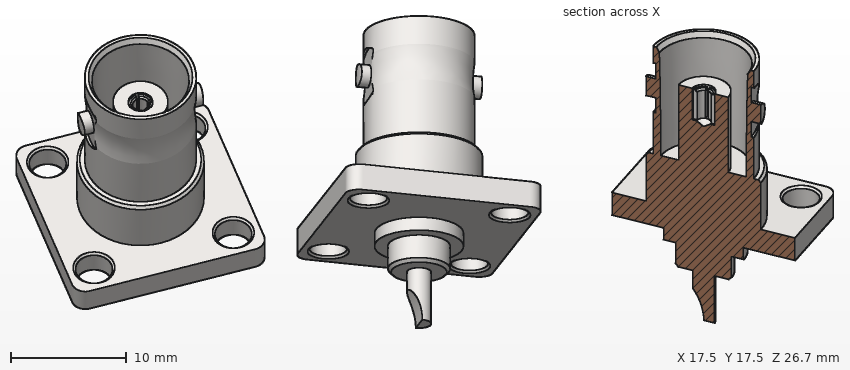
import cadquery as cq
import math

FLANGE_SIDE = 17.5
FLANGE_THICKNESS = 2.35
FLANGE_CORNER_RADIUS = 1.2
MOUNT_HOLE_PITCH = 12.7
MOUNT_HOLE_DIAMETER = 3.2
MOUNT_HOLE_CHAMFER = 0.2

BASE_RADIUS = 5.5
BASE_HEIGHT = 5.0
BASE_CHAMFER = 0.25
BARREL_RADIUS = 4.825
BARREL_HEIGHT = 10.95
BASE_TOP = FLANGE_THICKNESS + BASE_HEIGHT
BARREL_TOP = BASE_TOP + BARREL_HEIGHT

LUG_RADIUS = 1.0
LUG_DEPTH = 4.25
LUG_CENTER_Z = BARREL_TOP - LUG_DEPTH
LUG_TIP_RADIUS = BASE_RADIUS
GROOVE_WIDTH = 3.3
GROOVE_DEPTH = 0.15
FLAT_RADIUS = 2.5
FLAT_DISTANCE = 4.57

MOUTH_RADIUS = 4.5
TAPER_TOP_RADIUS = 4.2
SOCKET_FLOOR_RADIUS = 4.05
MOUTH_DEPTH = 0.5
SOCKET_FLOOR = BASE_TOP

INSULATOR_RADIUS = 2.375
INSULATOR_DEPTH = 3.3
INSULATOR_TOP = BARREL_TOP - INSULATOR_DEPTH
CONTACT_RADIUS = 1.05
CONTACT_RECESS = 0.2
CONTACT_TOP = INSULATOR_TOP - CONTACT_RECESS
CONTACT_BORE_RADIUS = 0.67
CONTACT_CHAMFER = 0.16
CONTACT_BORE_DEPTH = 3.0
DRILL_POINT_ANGLE = 118.0
SLOT_WIDTH = 0.25

TAIL_STEP_RADIUS = 3.85
TAIL_STEP_HEIGHT = 1.2
TAIL_RADIUS = 2.7
TAIL_HEIGHT = 2.4
TAIL_CHAMFER = 0.3
PIN_LENGTH = 4.8
TAIL_BOTTOM = -(TAIL_STEP_HEIGHT + TAIL_HEIGHT)
PIN_BOTTOM = TAIL_BOTTOM - PIN_LENGTH
SCOOP_RADIUS = PIN_LENGTH


def cylinder(radius, bottom, top):
    return cq.Workplane("XY").workplane(offset=bottom).circle(radius).extrude(top - bottom)


def cylinder_along_y(radius, center_z, length):
    """Cylinder parallel to Y, centred on the Z axis."""
    return cq.Workplane("XZ").center(0, center_z).circle(radius).extrude(length / 2, both=True)


def make_mount_drill():
    """Through drill that widens at both faces of the flange."""
    radius = MOUNT_HOLE_DIAMETER / 2
    flared_radius = radius + MOUNT_HOLE_CHAMFER
    return (
        cq.Workplane("XZ")
        .lineTo(flared_radius, 0)
        .lineTo(radius, MOUNT_HOLE_CHAMFER)
        .lineTo(radius, FLANGE_THICKNESS - MOUNT_HOLE_CHAMFER)
        .lineTo(flared_radius, FLANGE_THICKNESS)
        .lineTo(0, FLANGE_THICKNESS)
        .close()
        .revolve(360, (0, 0, 0), (0, 1, 0))
    )


def make_flange():
    plate = cq.Workplane("XY").rect(FLANGE_SIDE, FLANGE_SIDE).extrude(FLANGE_THICKNESS)
    plate = plate.edges("|Z").fillet(FLANGE_CORNER_RADIUS)
    hole_centers = cq.Workplane("XY").rect(MOUNT_HOLE_PITCH, MOUNT_HOLE_PITCH, forConstruction=True)
    return plate.cut(hole_centers.vertices().eachpoint(make_mount_drill().val(), True))


def make_barrel():
    """Revolved barrel with a shallow arc groove at lug height."""
    half_groove = GROOVE_WIDTH / 2
    return (
        cq.Workplane("XZ")
        .moveTo(0, BASE_TOP)
        .lineTo(BARREL_RADIUS, BASE_TOP)
        .lineTo(BARREL_RADIUS, LUG_CENTER_Z - half_groove)
        .threePointArc(
            (BARREL_RADIUS - GROOVE_DEPTH, LUG_CENTER_Z),
            (BARREL_RADIUS, LUG_CENTER_Z + half_groove),
        )
        .lineTo(BARREL_RADIUS, BARREL_TOP)
        .lineTo(0, BARREL_TOP)
        .close()
        .revolve(360, (0, 0, 0), (0, 1, 0))
    )


def cut_lug_flats(barrel):
    """Flatten a round spot behind each lug."""
    spots = cylinder_along_y(FLAT_RADIUS, LUG_CENTER_Z, 2 * BASE_RADIUS)
    spots = spots.cut(cylinder_along_y(FLAT_RADIUS, LUG_CENTER_Z, 2 * FLAT_DISTANCE))
    return barrel.cut(spots)


def make_lugs():
    """One bar along Y, rounded at both ends to the lug tip radius; the socket cuts its middle away."""
    bar = cylinder_along_y(LUG_RADIUS, LUG_CENTER_Z, 2 * BASE_RADIUS)
    envelope = cylinder(LUG_TIP_RADIUS, BASE_TOP, BARREL_TOP)
    return bar.intersect(envelope)


def make_socket():
    return (
        cq.Workplane("XZ")
        .moveTo(0, SOCKET_FLOOR)
        .lineTo(SOCKET_FLOOR_RADIUS, SOCKET_FLOOR)
        .lineTo(TAPER_TOP_RADIUS, BARREL_TOP - MOUTH_DEPTH)
        .lineTo(MOUTH_RADIUS, BARREL_TOP)
        .lineTo(0, BARREL_TOP)
        .close()
        .revolve(360, (0, 0, 0), (0, 1, 0))
    )


def make_contact_bore():
    """Chamfered bore with a conical drill point."""
    bore_bottom = CONTACT_TOP - CONTACT_BORE_DEPTH
    point_depth = CONTACT_BORE_RADIUS / math.tan(math.radians(DRILL_POINT_ANGLE / 2))
    return (
        cq.Workplane("XZ")
        .moveTo(0, bore_bottom - point_depth)
        .lineTo(CONTACT_BORE_RADIUS, bore_bottom)
        .lineTo(CONTACT_BORE_RADIUS, CONTACT_TOP - CONTACT_CHAMFER)
        .lineTo(CONTACT_BORE_RADIUS + CONTACT_CHAMFER, CONTACT_TOP)
        .lineTo(0, CONTACT_TOP)
        .close()
        .revolve(360, (0, 0, 0), (0, 1, 0))
    )


def make_contact_slots():
    """Crossed slots that split the contact into four fingers down to the bottom of its bore."""
    bars = cq.Workplane("XY").workplane(offset=CONTACT_TOP - CONTACT_BORE_DEPTH)
    along_x = bars.rect(2 * CONTACT_RADIUS, SLOT_WIDTH).extrude(CONTACT_BORE_DEPTH)
    along_y = bars.rect(SLOT_WIDTH, 2 * CONTACT_RADIUS).extrude(CONTACT_BORE_DEPTH)
    envelope = cylinder(CONTACT_RADIUS, CONTACT_TOP - CONTACT_BORE_DEPTH, CONTACT_TOP)
    return along_x.union(along_y).intersect(envelope)


def make_insulator():
    recess = cylinder(CONTACT_RADIUS, CONTACT_TOP, INSULATOR_TOP)
    post = cylinder(INSULATOR_RADIUS, SOCKET_FLOOR, INSULATOR_TOP)
    return post.cut(recess).cut(make_contact_bore()).cut(make_contact_slots())


def make_tail():
    step = cylinder(TAIL_STEP_RADIUS, -TAIL_STEP_HEIGHT, 0)
    neck = cylinder(TAIL_RADIUS, TAIL_BOTTOM, -TAIL_STEP_HEIGHT)
    neck = neck.faces("<Z").edges().chamfer(TAIL_CHAMFER)
    return step.union(neck)


def make_solder_pin():
    """Round pin scooped away on its +Y side, down to half its thickness at the end."""
    pin = cylinder(CONTACT_RADIUS, PIN_BOTTOM, TAIL_BOTTOM)
    scoop = (
        cq.Workplane("YZ")
        .center(SCOOP_RADIUS, PIN_BOTTOM)
        .circle(SCOOP_RADIUS)
        .extrude(2 * CONTACT_RADIUS, both=True)
    )
    return pin.cut(scoop)


base = cylinder(BASE_RADIUS, FLANGE_THICKNESS, BASE_TOP).faces(">Z").edges().chamfer(BASE_CHAMFER)
barrel = cut_lug_flats(make_barrel()).union(make_lugs()).cut(make_socket())

result = make_flange().union(base).union(barrel).union(make_insulator())
result = result.union(make_tail()).union(make_solder_pin())